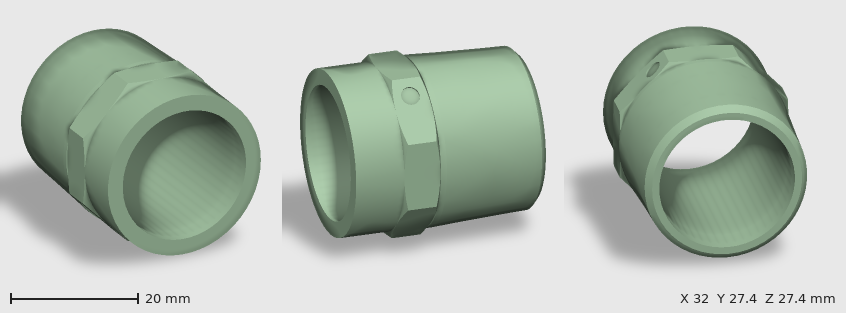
import cadquery as cq
import math

total_length = 32.0
tip_x = -total_length / 2
tip_chamfer_length = 1.0
collar_length = 1.0
nut_start_x = 2.0
nut_length = 6.0
nut_end_x = nut_start_x + nut_length

tip_diameter = 24.0
taper_small_diameter = 26.0
collar_diameter = 27.42
sleeve_diameter = 26.9
bore_diameter = 21.7

nut_sides = 8
nut_across_flats = 26.9
nut_across_corners = nut_across_flats / math.cos(math.pi / nut_sides)
corner_chamfer_angle = 30.0

mark_diameter = 3.0
mark_depth = 0.3
mark_flat_angle = 45.0
mark_offset = -2.55


def revolve_about_x(points):
    """Solid of revolution from a closed outline of (x, radius) points."""
    return cq.Workplane("XY").polyline(points).close().revolve(360, (0, 0, 0), (1, 0, 0))


def turned_body():
    """Chamfered tip, tapered spigot, collar and plain sleeve."""
    return revolve_about_x([
        (tip_x, 0),
        (tip_x, tip_diameter / 2),
        (tip_x + tip_chamfer_length, taper_small_diameter / 2),
        (nut_start_x - collar_length, collar_diameter / 2),
        (nut_start_x, collar_diameter / 2),
        (nut_start_x, sleeve_diameter / 2),
        (total_length / 2, sleeve_diameter / 2),
        (total_length / 2, 0),
    ])


def octagonal_nut():
    """Octagon with flats facing Y and Z, its corners cut by a cone at both ends."""
    octagon = (
        cq.Workplane("YZ", origin=(nut_start_x, 0, 0))
        .transformed(rotate=(0, 0, 180 / nut_sides))
        .polygon(nut_sides, nut_across_corners)
        .extrude(nut_length)
    )
    flat_radius = nut_across_flats / 2
    corner_radius = nut_across_corners / 2
    corner_cut = (corner_radius - flat_radius) * math.tan(math.radians(corner_chamfer_angle))
    turning_limit = revolve_about_x([
        (nut_start_x, 0),
        (nut_start_x, flat_radius),
        (nut_start_x + corner_cut, corner_radius),
        (nut_end_x - corner_cut, corner_radius),
        (nut_end_x, flat_radius),
        (nut_end_x, 0),
    ])
    return octagon.intersect(turning_limit)


def mark_recess():
    """Shallow round pocket, modelled on the top flat and turned onto the slanted flat."""
    pocket = (
        cq.Workplane("XY", origin=(0, 0, nut_across_flats / 2 - mark_depth))
        .center((nut_start_x + nut_end_x) / 2, mark_offset)
        .circle(mark_diameter / 2)
        .extrude(2 * mark_depth)
    )
    return pocket.rotate((0, 0, 0), (1, 0, 0), -mark_flat_angle)


bore = cq.Workplane("YZ", origin=(tip_x, 0, 0)).circle(bore_diameter / 2).extrude(total_length)

result = turned_body().union(octagonal_nut()).cut(bore).cut(mark_recess())